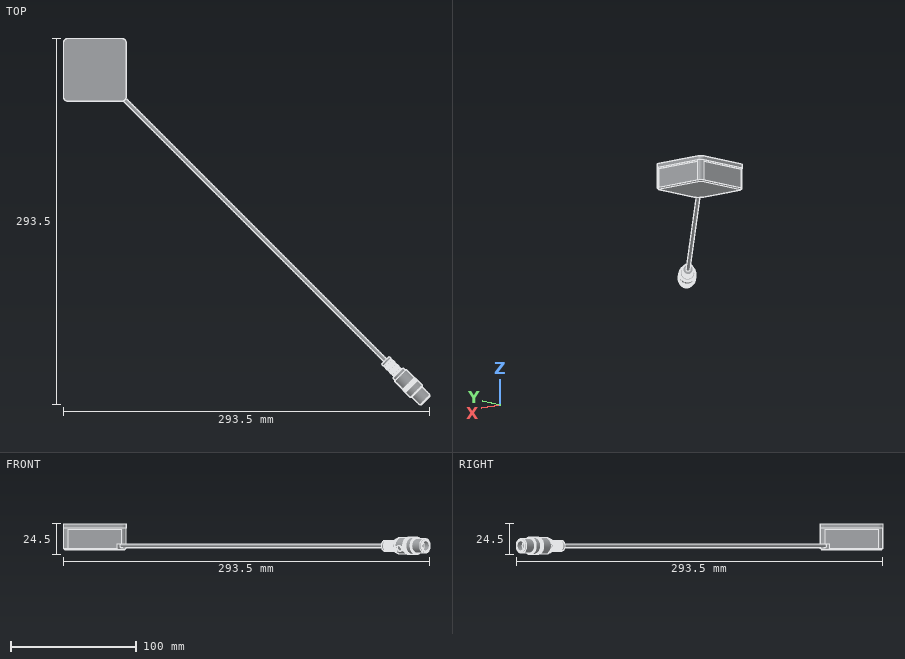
import cadquery as cq
import math

overall_side = 293.5
cable_angle = -45.0

box_side = 50.5
box_height = 20.8
corner_radius = 3.8
bottom_chamfer = 1.2
lid_thickness = 3.2
lid_overhang = 0.15
panel_top_gap = 4.5
panel_bottom_gap = 1.2
panel_depth = 0.15

cable_radius = 1.6
cable_drop = 17.5
cable_embed = 6.0
axis_height = box_height - cable_drop
exit_setback = 5.5

tip_chamfer = 1.0
tip_radius = 6.0
tip_length = 10.0
ring_chamfer = 0.5
ring_length = 8.0
ring_radius = 7.0
ring_groove_spacing = 1.2
ring_groove_count = 2
neck_length = 1.0
neck_radius = 6.0
body_length = 9.5
flat_length = 7.3
body_radius = 6.8
flat_depth = 0.3
collar_length = 2.5
collar_radius = 6.0
boot_length = 14.5
boot_radius = 4.5
boot_disc_length = 2.3
boot_groove_count = 8
groove_width = 0.5
groove_depth = 0.5
socket_radius = 4.0
socket_depth = 6.0
mark_diameter = 5.0
mark_depth = 0.5
mark_angle = 20.0

diagonal = overall_side * math.sqrt(2)
box_diagonal = box_side * math.sqrt(2)
tip_end = diagonal - tip_radius + tip_chamfer
ring_front = tip_end - tip_length - ring_chamfer
ring_back = ring_front - ring_length
body_front = ring_back - neck_length
body_back = body_front - body_length
boot_front = body_back - collar_length
boot_back = boot_front - boot_length
exit_station = box_diagonal - exit_setback


def cylinder(start, end, radius):
    """Solid cylinder on the cable axis, before it is turned to the diagonal."""
    return (
        cq.Workplane("YZ", origin=(start, 0, axis_height))
        .circle(radius)
        .extrude(end - start)
    )


def groove(start, outer_radius):
    """Ring to cut from a turned surface."""
    cutter = cylinder(start, start + groove_width, outer_radius + groove_depth)
    return cutter.cut(cylinder(start, start + groove_width, outer_radius - groove_depth))


def rounded_block(side, height, radius):
    """Square block with rounded upright edges, standing on Z = 0."""
    return cq.Workplane("XY").rect(side, side).extrude(height).edges("|Z").fillet(radius)


def make_box():
    lid_bottom = box_height - lid_thickness
    lid = rounded_block(box_side, lid_thickness, corner_radius).translate((0, 0, lid_bottom))
    base_side = box_side - 2 * lid_overhang
    base = rounded_block(base_side, lid_bottom, corner_radius - lid_overhang)
    base = base.faces("<Z").edges().chamfer(bottom_chamfer)
    panel_width = box_side - 2 * corner_radius
    panel_height = box_height - panel_top_gap - panel_bottom_gap
    panel = cq.Workplane("XY").box(2 * panel_depth, panel_width, panel_height).translate(
        (base_side / 2, 0, panel_bottom_gap + panel_height / 2)
    )
    for quarter in range(4):
        base = base.cut(panel.rotate((0, 0, 0), (0, 0, 1), 90 * quarter))
    return base.union(lid).translate((box_side / 2, -box_side / 2, 0))


def make_exit_cut():
    """Squares off the box corner below the top of the cable."""
    height = axis_height + cable_radius
    return cq.Workplane("XY").box(
        2 * exit_setback, box_side, height, centered=(False, True, False)
    ).translate((exit_station, 0, 0))


def make_plug():
    tip = cylinder(ring_back, tip_end, tip_radius).faces(">X").chamfer(tip_chamfer)
    tip = tip.cut(cylinder(tip_end - socket_depth, tip_end, socket_radius))
    ring = cylinder(ring_back, ring_front + ring_chamfer, ring_radius)
    ring = ring.faces(">X").chamfer(ring_chamfer)
    for index in range(ring_groove_count):
        ring = ring.cut(groove(ring_back + (index + 0.5) * ring_groove_spacing, ring_radius))
    neck = cylinder(body_front, ring_back, neck_radius)
    body = make_body()
    collar = cylinder(boot_front, body_back, collar_radius)
    boot = cylinder(boot_back, boot_front, boot_radius)
    pitch = (boot_length - boot_disc_length) / boot_groove_count
    for index in range(boot_groove_count):
        boot = boot.cut(groove(boot_back + boot_disc_length + index * pitch, boot_radius))
    return boot.union(collar).union(body).union(neck).union(ring).union(tip)


def make_body():
    """Round grip with one flat that carries a sunken round mark."""
    body = cylinder(body_back, body_front, body_radius)
    flat_distance = body_radius - flat_depth
    flat = cq.Workplane("XY").box(flat_length, 2 * flat_depth, 2 * body_radius).translate(
        (0, -body_radius, 0)
    )
    mark = (
        cq.Workplane("XZ", origin=(0, mark_depth - flat_distance, 0))
        .circle(mark_diameter / 2)
        .extrude(mark_depth + flat_depth)
    )
    cutter = (
        flat.union(mark)
        .rotate((0, 0, 0), (1, 0, 0), mark_angle)
        .translate(((body_back + body_front) / 2, 0, axis_height))
    )
    return body.cut(cutter)


cable = cylinder(exit_station - cable_embed, boot_back, cable_radius)
cable_and_plug = cable.union(make_plug()).rotate((0, 0, 0), (0, 0, 1), cable_angle)
exit_cut = make_exit_cut().rotate((0, 0, 0), (0, 0, 1), cable_angle)

result = make_box().cut(exit_cut).union(cable_and_plug)